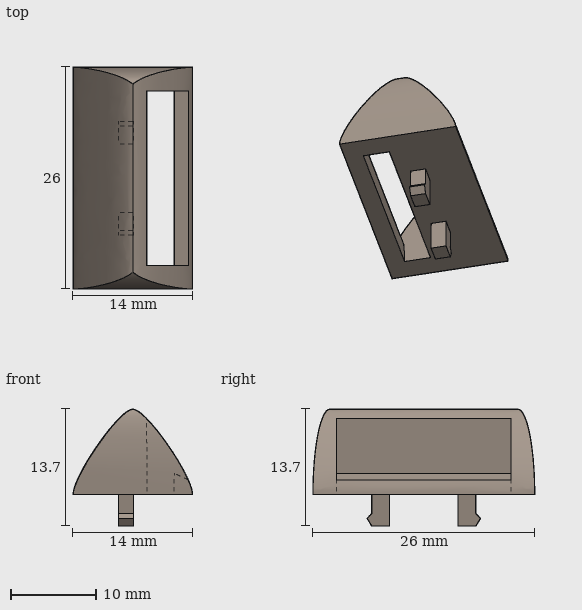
import cadquery as cq
import math

width = 14.0
length = 26.0
height = 10.0
ridge_length = 22.0
half_width = width / 2

base_handle = 2.2
ridge_handle = 1.6

window_length = 20.4
slot_top_x = 1.6
slot_bottom_x = 1.68
shelf_inner_x = 4.87
shelf_bottom_x = 4.8
shelf_outer_x = 6.5
shelf_outer_z = 1.72
shelf_slope = math.radians(25)

leg_thickness = 1.8
leg_min_x = -1.7
leg_inner_y = 4.0
leg_outer_y = 6.1
leg_depth = 3.7
barb_reach = 0.55
barb_top_z = -2.2
barb_tip_z = -2.8


def make_body():
    """Pointed-arch section along Y, kept inside a side outline with elliptical ends."""
    section = (
        cq.Workplane("XZ", origin=(0, length / 2, 0))
        .moveTo(-half_width, 0)
        .bezier([(-half_width, 0), (-half_width, base_handle), (-ridge_handle, height), (0, height)])
        .bezier([(0, height), (ridge_handle, height), (half_width, base_handle), (half_width, 0)])
        .close()
        .extrude(length)
    )
    end_rounding = (length - ridge_length) / 2
    side_outline = (
        cq.Workplane("YZ", origin=(-half_width, 0, 0))
        .moveTo(length / 2, 0)
        .ellipseArc(end_rounding, height, 0, 90)
        .lineTo(-ridge_length / 2, height)
        .ellipseArc(end_rounding, height, 90, 180)
        .close()
        .extrude(width)
    )
    return section.intersect(side_outline)


def make_window():
    """Cutter for the slot and the space above the shelf."""

    def shelf_z(x):
        return shelf_outer_z + (shelf_outer_x - x) * math.tan(shelf_slope)

    outline = [
        (slot_bottom_x, 0),
        (shelf_bottom_x, 0),
        (shelf_inner_x, shelf_z(shelf_inner_x)),
        (half_width, shelf_z(half_width)),
        (half_width, height),
        (slot_top_x, height),
    ]
    return (
        cq.Workplane("XZ", origin=(0, window_length / 2, 0))
        .polyline(outline)
        .close()
        .extrude(window_length)
    )


def make_leg(side):
    """Snap leg on the +Y half (side = 1) or the -Y half (side = -1)."""
    outline = [
        (side * leg_inner_y, 0),
        (side * leg_outer_y, 0),
        (side * leg_outer_y, barb_top_z),
        (side * (leg_outer_y + barb_reach), barb_tip_z),
        (side * leg_outer_y, -leg_depth),
        (side * leg_inner_y, -leg_depth),
    ]
    return (
        cq.Workplane("YZ", origin=(leg_min_x, 0, 0))
        .polyline(outline)
        .close()
        .extrude(leg_thickness)
    )


result = make_body().cut(make_window())
for leg_side in (-1, 1):
    result = result.union(make_leg(leg_side))